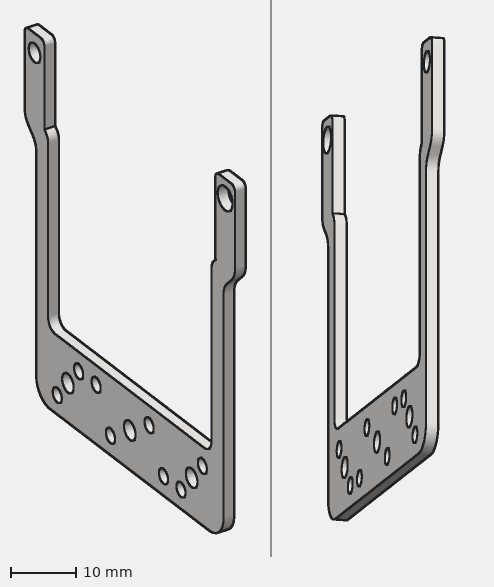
import cadquery as cq

height = 64.4
overall_width = 59.6
thickness = 2.0

base_width = 53.05
arm_width = 3.4
floor_height = 14.0
base_corner_radius = 4.0
floor_corner_radius = 2.0

tab_width = 5.6
tab_corner_radius = 1.0
outer_jog_height = 46.7
inner_jog_height = 48.2
outer_jog_radius = 3.2
inner_jog_radius = 2.0

tab_hole_drop = 3.5
left_tab_hole_diameter = 3.3
right_tab_hole_diameter = 4.2
large_hole_diameter = 3.3
large_hole_spacing = 17.5
small_hole_diameter = 2.6
small_hole_row_offset = 3.55
upper_row_positions = [-14.5, -9.5, 5.5, 20.55]

tab_outer = overall_width / 2
tab_inner = tab_outer - tab_width
arm_outer = base_width / 2
arm_inner = arm_outer - arm_width
hole_row_height = floor_height / 2
tab_hole_x = tab_outer - tab_width / 2
tab_hole_height = height - tab_hole_drop


def symmetric_prism(half_outline):
    """Extrude a right-hand outline together with its mirror image about X = 0."""
    mirrored = [(-x, z) for x, z in reversed(half_outline)]
    outline = cq.Workplane("XZ").polyline(half_outline + mirrored).close()
    return outline.extrude(thickness / 2, both=True)


def round_edges(body, x, z, radius):
    """Fillet the matching left and right through-thickness edges at (+/-x, z)."""
    for side in (-1, 1):
        edge = cq.selectors.NearestToPointSelector((side * x, 0, z))
        body = body.edges("|Y").edges(edge).fillet(radius)
    return body


def make_plate():
    outer_rise = (tab_outer - arm_outer) / 2
    inner_rise = (tab_inner - arm_inner) / 2
    corners = [
        (arm_outer, 0, base_corner_radius),
        (arm_outer, outer_jog_height - outer_rise, outer_jog_radius),
        (tab_outer, outer_jog_height + outer_rise, outer_jog_radius),
        (tab_outer, height, tab_corner_radius),
        (tab_inner, height, tab_corner_radius),
        (tab_inner, inner_jog_height + inner_rise, 0),
        (arm_inner, inner_jog_height - inner_rise, inner_jog_radius),
        (arm_inner, floor_height, floor_corner_radius),
    ]
    plate = symmetric_prism([(x, z) for x, z, _ in corners])
    for x, z, radius in corners:
        if radius > 0:
            plate = round_edges(plate, x, z, radius)
    return plate


def hole_cutters(points, diameter):
    """Cylinders through the thickness at the given (x, z) points."""
    behind_plate = cq.Workplane("XZ", origin=(0, thickness, 0))
    return behind_plate.pushPoints(points).circle(diameter / 2).extrude(2 * thickness)


upper_row = [(x, hole_row_height + small_hole_row_offset) for x in upper_row_positions]
lower_row = [(-x, hole_row_height - small_hole_row_offset) for x in upper_row_positions]
large_holes = [(step * large_hole_spacing, hole_row_height) for step in (-1, 0, 1)]

result = (
    make_plate()
    .cut(hole_cutters(upper_row + lower_row, small_hole_diameter))
    .cut(hole_cutters(large_holes, large_hole_diameter))
    .cut(hole_cutters([(-tab_hole_x, tab_hole_height)], left_tab_hole_diameter))
    .cut(hole_cutters([(tab_hole_x, tab_hole_height)], right_tab_hole_diameter))
)